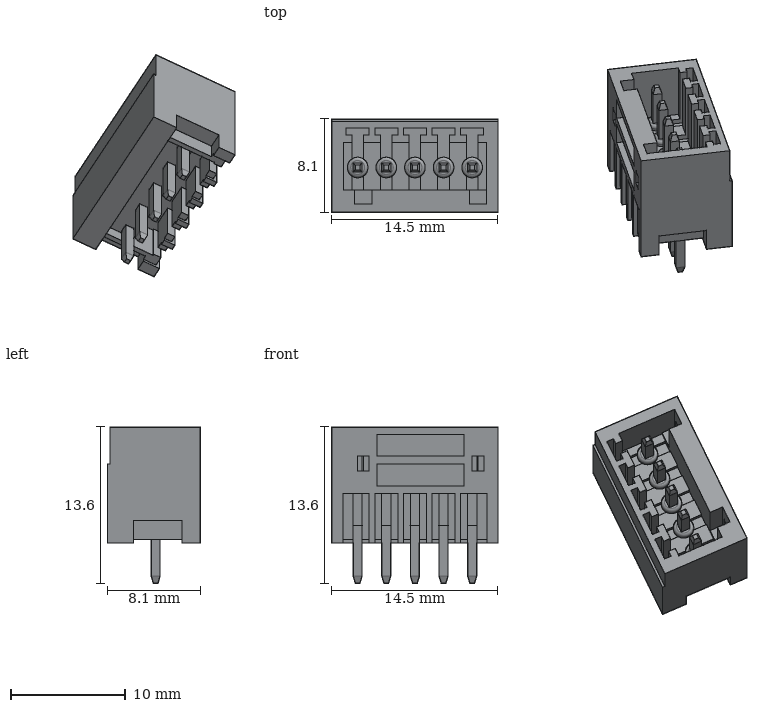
import cadquery as cq

housing_width = 14.5
housing_depth = 8.1
housing_height = 10.1
overall_height = 13.6
rear_step_depth = 0.22
rear_step_z = 6.9

pin_count = 5
pin_pitch = 2.5
pin_y = 3.9
pin_width = 0.8
pin_tip_width = 0.4
pin_bottom_z = housing_height - overall_height
pin_top_z = 9.3
bottom_taper = 0.64
top_taper = 0.57
collar_diameter = 1.8
collar_height = 0.5
collar_round = 0.29
pin_xs = [(i - (pin_count - 1) / 2) * pin_pitch for i in range(pin_count)]

cavity_width = 12.47
cavity_front_y = 1.93
cavity_rear_y = 6.08
cavity_floor_z = 5.22
groove_floor_z = 4.78
stem_width = 1.02
bar_width = 2.0
bar_front_y = 6.71
bar_rear_y = 7.32

coding_front_y = 0.72
coding_floor_z = 5.51
left_coding_x = (-5.25, -3.74)
right_coding_x = (4.77, cavity_width / 2)

window_z = (6.3, 7.58)
left_window_x = (-4.99, -4.0)
right_window_x = (4.97, 6.0)
pocket_x = (-3.32, 4.28)
pocket_depth = 0.9
pocket_height = 1.9
pocket_bottoms = (5.0, 7.58)

slot_top_z = 4.32
slot_width = 2.0
outer_slot_reach = 6.28
slot_depth = 0.35
channel_width = pin_width
front_wall = 1.07
notch_front_y = 1.61
notch_rear_y = 5.81
notch_height = 1.99
notch_depth = 1.33
standoff = 0.3
trench_width = 11.02
trench_rear_y = 3.0
slab_bottom_z = 1.52


def block(x_range, y_range, z_range):
    """Box between the given limits along each axis."""
    (x0, x1), (y0, y1), (z0, z1) = x_range, y_range, z_range
    return cq.Workplane("XY").box(x1 - x0, y1 - y0, z1 - z0, centered=False).translate((x0, y0, z0))


def centred(width, x=0.0):
    """Limits of a span of the given width around x."""
    return (x - width / 2, x + width / 2)


def housing_shell():
    shell = block(centred(housing_width), (0, housing_depth), (0, housing_height))
    rear_step = block(
        centred(housing_width),
        (housing_depth - rear_step_depth, housing_depth),
        (rear_step_z, housing_height),
    )
    return shell.cut(rear_step)


def cut_mating_side(body):
    """Cavity, a T-shaped groove behind each pin, and the two coding slots."""
    body = body.cut(
        block(centred(cavity_width), (cavity_front_y, cavity_rear_y), (cavity_floor_z, housing_height))
    )
    groove_z = (groove_floor_z, housing_height)
    for x in pin_xs:
        body = body.cut(block(centred(stem_width, x), (cavity_front_y, bar_front_y), groove_z))
        body = body.cut(block(centred(bar_width, x), (bar_front_y, bar_rear_y), groove_z))
    for coding_x in (left_coding_x, right_coding_x):
        body = body.cut(
            block(coding_x, (coding_front_y, cavity_front_y), (coding_floor_z, housing_height))
        )
    return body


def cut_front_face(body):
    """Windows that open into the coding slots, and two blind pockets."""
    for window_x in (left_window_x, right_window_x):
        body = body.cut(block(window_x, (0, coding_front_y), window_z))
    for bottom in pocket_bottoms:
        body = body.cut(block(pocket_x, (0, pocket_depth), (bottom, bottom + pocket_height)))
    return body


def cut_front_slots(body):
    """Stepped slot in front of each pin; the outer two are wider on their outer side."""
    for x in pin_xs:
        left, right = centred(slot_width, x)
        if x == pin_xs[0]:
            left = -outer_slot_reach
        if x == pin_xs[-1]:
            right = outer_slot_reach
        body = body.cut(block((left, right), (0, slot_depth), (0, slot_top_z)))
        body = body.cut(block((left, right), (slot_depth, notch_front_y), (0, standoff)))
        body = body.cut(block(centred(channel_width, x), (slot_depth, front_wall), (0, slot_top_z)))
    return body


def cut_underside(body):
    """Passage between the feet, end notches, the hollow under the floor slab and the trench."""
    notch_y = (notch_front_y, notch_rear_y)
    body = body.cut(block(centred(housing_width), notch_y, (0, standoff)))
    inner_x = housing_width / 2 - notch_depth
    for notch_x in ((-housing_width / 2, -inner_x), (inner_x, housing_width / 2)):
        body = body.cut(block(notch_x, notch_y, (0, notch_height)))
    body = body.cut(block(centred(trench_width), (front_wall, notch_rear_y), (0, slab_bottom_z)))
    return body.cut(block(centred(trench_width), (front_wall, trench_rear_y), (0, slot_top_z)))


def drill_pin_holes(body):
    for x in pin_xs:
        body = body.cut(
            block(centred(pin_width, x), centred(pin_width, pin_y), (slab_bottom_z, cavity_floor_z))
        )
    return body


def make_housing():
    body = housing_shell()
    for shape in (cut_mating_side, cut_front_face, cut_front_slots, cut_underside, drill_pin_holes):
        body = shape(body)
    return body


def pin_taper(shoulder_z, tip_z):
    """Square taper from the full pin width to the tip width."""
    return (
        cq.Workplane("XY", origin=(0, 0, shoulder_z))
        .rect(pin_width, pin_width)
        .workplane(offset=tip_z - shoulder_z)
        .rect(pin_tip_width, pin_tip_width)
        .loft(ruled=True)
    )


def make_pin(x):
    """Square pin, tapered at both ends, with a rounded collar resting on the cavity floor."""
    lower_shoulder = pin_bottom_z + bottom_taper
    upper_shoulder = pin_top_z - top_taper
    shank = block(centred(pin_width), centred(pin_width), (lower_shoulder, upper_shoulder))
    collar = (
        cq.Workplane("XY", origin=(0, 0, cavity_floor_z))
        .circle(collar_diameter / 2)
        .extrude(collar_height)
        .faces(">Z")
        .edges()
        .fillet(collar_round)
    )
    pin = shank.union(collar)
    pin = pin.union(pin_taper(lower_shoulder, pin_bottom_z))
    pin = pin.union(pin_taper(upper_shoulder, pin_top_z))
    return pin.translate((x, pin_y, 0))


housing = make_housing()
pins = [make_pin(x) for x in pin_xs]

result = cq.Compound.makeCompound([housing.val(), *[pin.val() for pin in pins]])